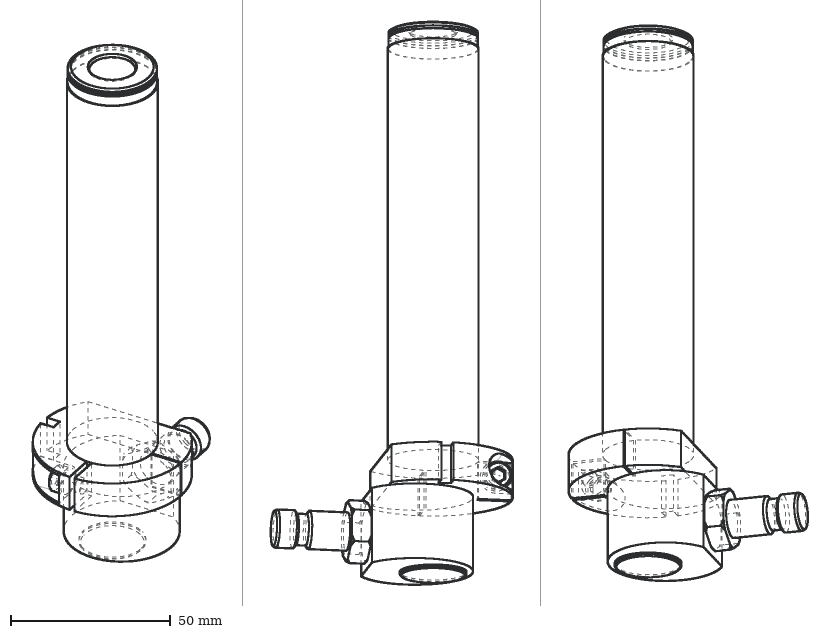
import cadquery as cq

OVERLAP = 0.9
CLEAR = 35.0

total_height = 174.9
foot_height = 1.0
ring_bottom = 25.0
ring_top = 37.0

tube_diameter = 28.5
cap_diameter = 28.0
cap_height = 5.6
cap_chamfer_height = 0.5
cap_chamfer_width = 1.0
cap_groove_diameter = 27.3
cap_groove_top = total_height - 1.4
cap_groove_width = 0.9
recess_diameter = 15.4
recess_floor_diameter = 14.3
recess_depth = 0.9

body_diameter = 36.4
body_center_y = 5.8
body_flat_y = 21.2
foot_diameter = 21.0
foot_chamfer = 0.5

ring_diameter = 49.8
ring_flat_y = 16.6
notch_width = 3.8
notch_depth = 4.7
clamp_slot_width = 1.7
hinge_slit_width = 0.5

screw_y = -19.0
screw_z = (ring_bottom + ring_top) / 2
pocket_diameter = 10.0
pocket_end_x = -4.9
shank_diameter = 5.0
shank_end_x = 5.2
head_diameter = 8.5
head_length = 4.7
head_chamfer = 0.5
socket_corners = 4.9
socket_depth = 2.1

connector_z = 13.0
connector_end_y = 75.5 - ring_diameter / 2
connector_diameter = 12.0
connector_neck_diameter = 10.0
connector_chamfer = 0.9
neck_taper = 0.9
neck_start_y = 39.5
neck_end_y = 44.5
nut_end_y = 27.5
nut_corners = 20.3
nut_rim_diameter = 18.5
nut_chamfer = 0.9


def cylinder_z(diameter, bottom, top, y=0.0):
    return cq.Workplane("XY", origin=(0, y, bottom)).circle(diameter / 2).extrude(top - bottom)


def cylinder_x(diameter, start, end):
    """Cylinder on the clamp screw axis."""
    plane = cq.Workplane("YZ", origin=(start, screw_y, screw_z))
    return plane.circle(diameter / 2).extrude(end - start)


def block(x_range, y_range, z_range):
    sizes = [high - low for low, high in (x_range, y_range, z_range)]
    corner = (x_range[0], y_range[0], z_range[0])
    return cq.Workplane("XY").box(*sizes, centered=False).translate(corner)


def make_tube():
    cap_bottom = total_height - cap_height
    groove_bottom = cap_groove_top - cap_groove_width
    cap_radius = cap_diameter / 2
    profile = [
        (0, ring_bottom),
        (tube_diameter / 2, ring_bottom),
        (tube_diameter / 2, cap_bottom),
        (cap_radius, cap_bottom),
        (cap_radius, groove_bottom),
        (cap_groove_diameter / 2, groove_bottom),
        (cap_groove_diameter / 2, cap_groove_top),
        (cap_radius, cap_groove_top),
        (cap_radius, total_height - cap_chamfer_height),
        (cap_radius - cap_chamfer_width, total_height),
        (recess_diameter / 2, total_height),
        (recess_floor_diameter / 2, total_height - recess_depth),
        (0, total_height - recess_depth),
    ]
    return cq.Workplane("XZ").polyline(profile).close().revolve(360, (0, 0, 0), (0, 1, 0))


def make_body():
    body = cylinder_z(body_diameter, foot_height, ring_bottom, body_center_y)
    body = body.cut(block((-CLEAR, CLEAR), (body_flat_y, body_flat_y + CLEAR), (0, ring_bottom)))
    foot = cylinder_z(foot_diameter, 0, foot_height + OVERLAP).faces("<Z").chamfer(foot_chamfer)
    return body.union(foot)


def make_ring():
    radius = ring_diameter / 2
    bore_radius = tube_diameter / 2
    height = (ring_bottom, ring_top)
    ring = cylinder_z(ring_diameter, *height)
    ring = ring.cut(block((-CLEAR, CLEAR), (ring_flat_y, CLEAR), height))
    ring = ring.cut(block((-CLEAR, notch_depth - radius), (-notch_width / 2, notch_width / 2), height))
    ring = ring.cut(block((-clamp_slot_width / 2, clamp_slot_width / 2), (-CLEAR, -bore_radius), height))
    ring = ring.cut(block((bore_radius, CLEAR), (-hinge_slit_width / 2, hinge_slit_width / 2), height))

    half = pocket_diameter / 2
    ring = ring.cut(cylinder_x(pocket_diameter, -CLEAR, pocket_end_x))
    return ring.cut(block((-CLEAR, pocket_end_x), (-CLEAR, screw_y), (screw_z - half, screw_z + half)))


def make_screw():
    head_face_x = pocket_end_x - head_length
    head = cylinder_x(head_diameter, head_face_x, pocket_end_x).faces("<X").chamfer(head_chamfer)
    socket = (
        cq.Workplane("YZ", origin=(head_face_x, screw_y, screw_z))
        .transformed(rotate=(0, 0, 90))
        .polygon(6, socket_corners)
        .extrude(socket_depth)
    )
    return head.cut(socket).union(cylinder_x(shank_diameter, pocket_end_x - OVERLAP, shank_end_x))


def revolve_connector(profile):
    """Revolve (radius, y) points around the connector axis."""
    plane = cq.Workplane("XY", origin=(0, 0, connector_z))
    return plane.polyline(profile).close().revolve(360, (0, 0, 0), (0, 1, 0))


def make_nut():
    start_y = body_flat_y - OVERLAP
    hexagon = (
        cq.Workplane("XZ", origin=(0, start_y, connector_z))
        .transformed(rotate=(0, 0, 90))
        .polygon(6, nut_corners)
        .extrude(start_y - nut_end_y)
    )
    corner_radius = nut_corners / 2
    rim_radius = nut_rim_diameter / 2
    chamfer_envelope = revolve_connector([
        (0, start_y),
        (rim_radius, start_y),
        (rim_radius, body_flat_y),
        (corner_radius, body_flat_y + nut_chamfer),
        (corner_radius, nut_end_y - nut_chamfer),
        (rim_radius, nut_end_y),
        (0, nut_end_y),
    ])
    return hexagon.intersect(chamfer_envelope)


def make_connector():
    radius = connector_diameter / 2
    neck_radius = connector_neck_diameter / 2
    plug = revolve_connector([
        (0, body_flat_y - OVERLAP),
        (radius, body_flat_y - OVERLAP),
        (radius, neck_start_y),
        (neck_radius, neck_start_y + neck_taper),
        (neck_radius, neck_end_y - neck_taper),
        (radius, neck_end_y),
        (radius, connector_end_y - connector_chamfer),
        (radius - connector_chamfer / 2, connector_end_y),
        (0, connector_end_y),
    ])
    return plug.union(make_nut())


result = (
    make_tube()
    .union(make_body())
    .union(make_ring())
    .union(make_screw())
    .union(make_connector())
)